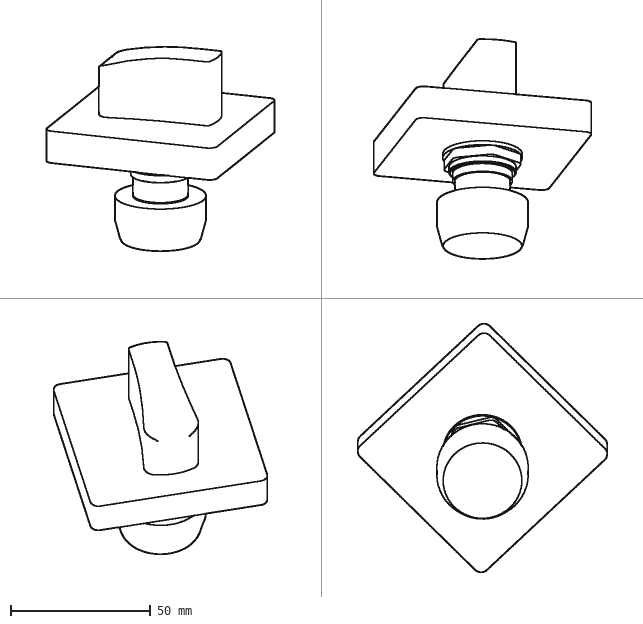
import cadquery as cq
import math

total_height = 70.9
knob_height = 24.0
plate_thickness = 12.0
flange_thickness = 1.5
hex_thickness = 3.5
collar_height = 2.4
ring_height = 3.0
hub_top = 16.95
foot_top = 16.5
foot_cone_top = 7.6
foot_cone_bottom = 0.85
plate_top = total_height - knob_height
plate_bottom = plate_top - plate_thickness
flange_bottom = plate_bottom - flange_thickness
hex_bottom = flange_bottom - hex_thickness
collar_bottom = hex_bottom - collar_height
ring_bottom = collar_bottom - ring_height

plate_side = 65.0
plate_corner_radius = 3.0
flange_radius = 14.25
hex_across_flats = 25.25
hex_corner_radius = 3.0

collar_radius = 12.05
collar_chamfer = 0.4
ring_radius = 10.7
stem_radius = 9.9
foot_radius = 16.4
foot_cone_radius = 14.6
foot_base_radius = 14.1

end_radius = 22.05
nose_half_width = 9.9
nose_corner_radius = 4.0
tail_half_width = 7.15
tail_start_x = 12.3
tail_corner_radius = 1.1

crown_radius = 100.0
crown_peak_x = 12.05
crown_end_x = 5.95
crest_start_x = 13.05
nose_cut_bottom_z = 54.3
nose_cut_top_x = -21.1
nose_edge_radius = 3.0
envelope_end_x = end_radius + 0.7


def make_plate():
    """Square base plate with rounded vertical edges."""
    plate = cq.Workplane("XY").workplane(offset=plate_bottom).rect(plate_side, plate_side)
    return plate.extrude(plate_thickness).edges("|Z").fillet(plate_corner_radius)


def make_nut():
    """Hexagon with corners on the X axis, under a round flange."""
    across_corners = hex_across_flats / math.cos(math.pi / 6)
    hexagon = (
        cq.Workplane("XY").workplane(offset=hex_bottom)
        .polygon(6, across_corners).extrude(hex_thickness)
        .edges("|Z").fillet(hex_corner_radius)
    )
    flange = cq.Workplane("XY").workplane(offset=flange_bottom).circle(flange_radius).extrude(flange_thickness)
    return hexagon.union(flange)


def revolve_profile(points):
    """Turn a closed (radius, height) outline about the Z axis."""
    return cq.Workplane("XZ").polyline(points).close().revolve(360, (0, 0), (0, 1))


def make_stem():
    """Stepped shaft: chamfered collar, ring and plain stem."""
    return revolve_profile([
        (0, hex_bottom),
        (collar_radius, hex_bottom),
        (collar_radius, collar_bottom + collar_chamfer),
        (collar_radius - collar_chamfer, collar_bottom),
        (ring_radius, collar_bottom),
        (ring_radius, ring_bottom),
        (stem_radius, ring_bottom),
        (stem_radius, hub_top),
        (0, hub_top),
    ])


def make_foot():
    """Tapered foot with a low hub that meets the stem."""
    return revolve_profile([
        (0, hub_top),
        (stem_radius, hub_top),
        (stem_radius, foot_top),
        (foot_radius, foot_top),
        (foot_radius, foot_cone_top),
        (foot_cone_radius, foot_cone_bottom),
        (foot_base_radius, 0),
        (0, 0),
    ])


def make_knob_blank():
    """Upright prism: round ends, wide nose, waisted sides and a straight tail."""
    corner_y = nose_half_width - nose_corner_radius
    corner_x = -math.sqrt((end_radius - nose_corner_radius) ** 2 - corner_y ** 2)
    end_ratio = end_radius / (end_radius - nose_corner_radius)
    nose_x = corner_x * end_ratio
    nose_y = corner_y * end_ratio

    run = tail_start_x - corner_x
    rise = tail_half_width - corner_y
    side_radius = (run ** 2 + rise ** 2 - nose_corner_radius ** 2) / (2 * (nose_corner_radius - rise))
    side_ratio = nose_corner_radius / (side_radius + nose_corner_radius)
    side_x = corner_x + run * side_ratio
    side_y = corner_y + (rise + side_radius) * side_ratio
    tail_end_x = math.sqrt(end_radius ** 2 - tail_half_width ** 2)

    blank = (
        cq.Workplane("XY").workplane(offset=plate_top)
        .moveTo(tail_end_x, tail_half_width)
        .lineTo(tail_start_x, tail_half_width)
        .radiusArc((side_x, side_y), side_radius)
        .radiusArc((nose_x, nose_y), -nose_corner_radius)
        .threePointArc((-end_radius, 0), (nose_x, -nose_y))
        .radiusArc((side_x, -side_y), -nose_corner_radius)
        .radiusArc((tail_start_x, -tail_half_width), side_radius)
        .lineTo(tail_end_x, -tail_half_width)
        .threePointArc((end_radius, 0), (tail_end_x, tail_half_width))
        .close().extrude(knob_height)
    )
    return blank.edges("|Z").edges(">X").fillet(tail_corner_radius)


def crown_z(x):
    """Height of the arched top at a given X."""
    return total_height - crown_radius + math.sqrt(crown_radius ** 2 - (x - crown_peak_x) ** 2)


def make_knob_envelope():
    """Side profile with a leaning nose, arched crown and level crest, extruded across the knob."""
    nose_top_z = crown_z(nose_cut_top_x)
    nose_lean = (nose_cut_top_x + end_radius) / (nose_top_z - nose_cut_bottom_z)
    nose_foot_x = -end_radius - nose_lean * (nose_cut_bottom_z - plate_top)
    profile = (
        cq.Workplane("XZ")
        .moveTo(nose_foot_x, plate_top)
        .lineTo(nose_cut_top_x, nose_top_z)
        .radiusArc((crown_end_x, crown_z(crown_end_x)), crown_radius)
        .lineTo(crest_start_x, total_height)
        .lineTo(envelope_end_x, total_height)
        .lineTo(envelope_end_x, plate_top)
        .close()
    )
    envelope = profile.extrude(end_radius, both=True)
    nose_edge = cq.selectors.NearestToPointSelector((nose_cut_top_x, 0, nose_top_z))
    return envelope.edges("|Y").edges(nose_edge).fillet(nose_edge_radius)


def make_knob():
    """Knob outline trimmed to its side profile."""
    return make_knob_blank().intersect(make_knob_envelope())


knob = make_knob()
plate = make_plate()
nut = make_nut()
stem = make_stem()
foot = make_foot()

result = cq.Compound.makeCompound([
    knob.solids().val(),
    plate.solids().val(),
    nut.solids().val(),
    stem.solids().val(),
    foot.solids().val(),
])